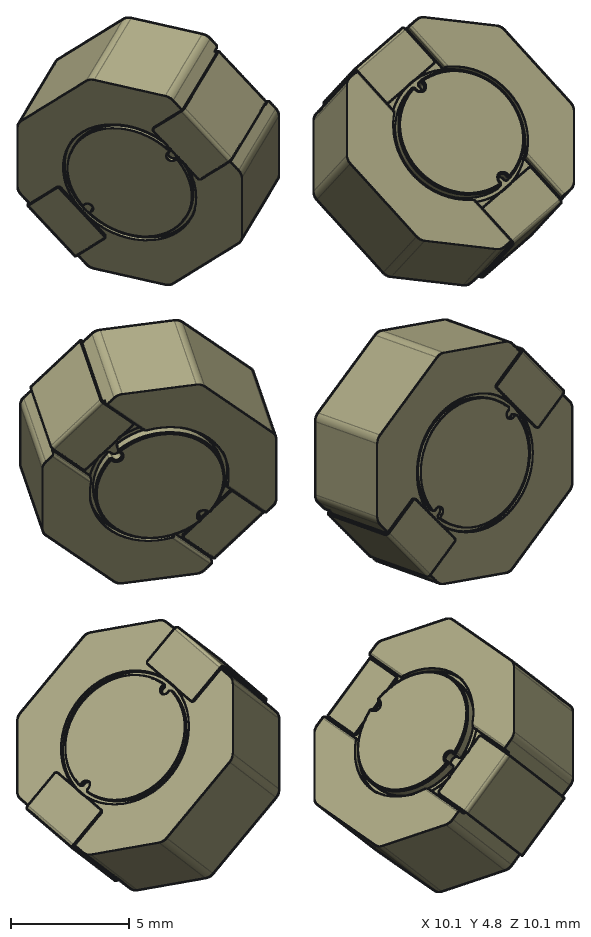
import cadquery as cq
import math


WIDTH = 10.1
DIAGONAL_FLAT = 4.85
CORNER_RADIUS = 0.5
HOUSING_DEPTH = 4.56

RIM_RADIUS = 2.8
DRUM_PROTRUSION = 0.14
DRUM_CHAMFER = 0.06
RING_GAP = 0.2
FRONT_GAP_DEPTH = 0.2

NOTCH_RADIUS = 0.21
NOTCH_CENTER = 2.63
NOTCH_LIP_RADIUS = 0.1

SHEET = 0.1
TERMINAL_WIDTH = 3.03
TERMINAL_REACH = 5.0
TERMINAL_INNER_END = 2.98
BEND_RADIUS = 0.15
TAB_CORNER_RADIUS = 0.1
BACK_TAB_RECESS = 0.24

SLOT_WIDTH = 3.21
SLOT_EDGE_RADIUS = 0.1

BORE_RADIUS = RIM_RADIUS + RING_GAP
SLOT_DEPTH = BACK_TAB_RECESS + SHEET
BACK_GAP_DEPTH = SLOT_DEPTH
TERMINAL_ANGLES = (45, 225)


def cross_section(y):
    """Workplane across the drum axis; local axes X and Z, extruded negatively toward +Y."""
    return cq.Workplane("XZ", origin=(0, y, 0))


def cylinder(radius, y, length):
    return cross_section(y).circle(radius).extrude(-length)


def block(x_range, y_range, z_width):
    """Rectangular block, centred on Z."""
    (x_min, x_max), (y_min, y_max) = x_range, y_range
    size = (x_max - x_min, y_max - y_min, z_width)
    return cq.Workplane().box(*size).translate(((x_min + x_max) / 2, (y_min + y_max) / 2, 0))


def turned(body, angle):
    """Turn a body about the drum axis, from +X toward +Z."""
    return body.rotate((0, 0, 0), (0, 1, 0), -angle)


def make_terminal_slot():
    """Slot running out along +X, with its long edges rounded over into the back face."""
    floor_y = HOUSING_DEPTH - SLOT_DEPTH
    inner_x = RIM_RADIUS * math.cos(math.asin(SLOT_WIDTH / 2 / RIM_RADIUS))
    x_range = (inner_x, WIDTH / 2)
    slot = block(x_range, (floor_y, HOUSING_DEPTH), SLOT_WIDTH)
    mouth_width = SLOT_WIDTH + 2 * SLOT_EDGE_RADIUS
    mouth = block(x_range, (HOUSING_DEPTH - SLOT_EDGE_RADIUS, HOUSING_DEPTH), mouth_width)
    for side in (-1, 1):
        edge_rounding = (
            cq.Workplane("YZ", origin=(inner_x, 0, 0))
            .center(HOUSING_DEPTH - SLOT_EDGE_RADIUS, side * mouth_width / 2)
            .circle(SLOT_EDGE_RADIUS)
            .extrude(WIDTH / 2 - inner_x)
        )
        mouth = mouth.cut(edge_rounding)
    return slot.union(mouth)


def make_housing():
    square = cross_section(0).rect(WIDTH, WIDTH).extrude(-HOUSING_DEPTH)
    diamond = cross_section(0).rect(2 * DIAGONAL_FLAT, 2 * DIAGONAL_FLAT).extrude(-HOUSING_DEPTH)
    housing = square.intersect(turned(diamond, 45)).edges("|Y").fillet(CORNER_RADIUS)

    housing = housing.cut(cylinder(BORE_RADIUS, 0, HOUSING_DEPTH))

    slot = make_terminal_slot()
    for angle in TERMINAL_ANGLES:
        housing = housing.cut(turned(slot, angle))
    return housing


def notched_rim(y, length):
    """Drum rim with a round wire notch toward each terminal; the notch mouths are rounded."""
    rim = cylinder(RIM_RADIUS, y, length)
    for angle in TERMINAL_ANGLES:
        notch = cylinder(NOTCH_RADIUS, y, length).translate((NOTCH_CENTER, 0, 0))
        rim = rim.cut(turned(notch, angle))
    return rim.edges("|Y").fillet(NOTCH_LIP_RADIUS)


def make_drum():
    """Core that fills the bore, with a narrower notched rim at each end."""
    core_length = HOUSING_DEPTH - FRONT_GAP_DEPTH - BACK_GAP_DEPTH
    core = cylinder(BORE_RADIUS, FRONT_GAP_DEPTH, core_length)
    front_rim = notched_rim(0, FRONT_GAP_DEPTH)
    back_rim = notched_rim(HOUSING_DEPTH - BACK_GAP_DEPTH, BACK_GAP_DEPTH + DRUM_PROTRUSION)
    back_rim = back_rim.faces(">Y").edges().chamfer(DRUM_CHAMFER)
    return core.union(front_rim).union(back_rim)


def make_terminal(angle):
    """C-shaped clip: front tab, side plate, and back tab resting on the slot floor."""
    front_y = -SHEET
    back_y = HOUSING_DEPTH - BACK_TAB_RECESS
    clip = block((TERMINAL_INNER_END, TERMINAL_REACH), (front_y, back_y), TERMINAL_WIDTH)
    clip = clip.edges("|Y and <X").fillet(TAB_CORNER_RADIUS)
    clip = clip.edges("|Z and >X").fillet(BEND_RADIUS)
    inside = block((0, TERMINAL_REACH - SHEET), (front_y + SHEET, back_y - SHEET), 2 * TERMINAL_WIDTH)
    inside = inside.edges("|Z and >X").fillet(BEND_RADIUS - SHEET)
    return turned(clip.cut(inside), angle)


housing = make_housing()
drum = make_drum()
terminals = [make_terminal(angle).val() for angle in TERMINAL_ANGLES]

result = cq.Compound.makeCompound([housing.val(), drum.val(), *terminals])